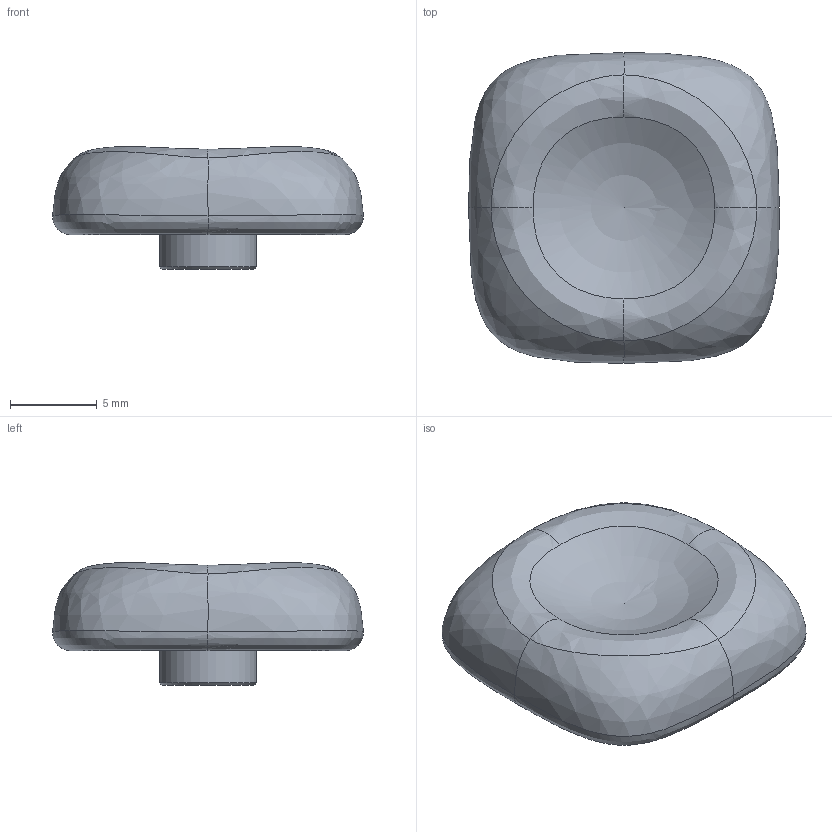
import cadquery as cq

stem_height = 2.0
dish_floor = 5.14

stem_diameter = 5.6
stem_edge_chamfer = 0.15

dish_radius = 10.0
rim_fillet = 2.06
base_fillet = 1.05

cap_sections = [
    (stem_height, 9.00, 7.62),
    (3.1, 8.96, 7.43),
    (4.3, 8.83, 7.25),
    (5.55, 8.40, 6.62),
    (6.4, 7.70, 5.82),
    (7.5, 6.26, 4.47),
]


def section_wire(height, half_width, corner):
    """Rounded-square outline at one height: four smooth quadrant curves joined on the axes."""
    quadrant = cq.Edge.makeSpline(
        [
            cq.Vector(half_width, 0, height),
            cq.Vector(corner, corner, height),
            cq.Vector(0, half_width, height),
        ],
        tangents=[cq.Vector(0, 1, 0), cq.Vector(-1, 0, 0)],
    )
    upward = cq.Vector(0, 0, 1)
    origin = cq.Vector(0, 0, 0)
    quadrants = [quadrant.rotate(origin, upward, 90 * turn) for turn in range(4)]
    return cq.Wire.assembleEdges(quadrants)


def make_cap():
    """Pillow-shaped cap with a spherical finger dish and rounded edges."""
    wires = [section_wire(*section) for section in cap_sections]
    blank = cq.Workplane(obj=cq.Solid.makeLoft(wires))
    dish = cq.Workplane(origin=(0, 0, dish_floor + dish_radius)).sphere(dish_radius)
    dished = blank.cut(dish)
    rounded_base = dished.faces("<Z").edges().fillet(base_fillet)
    rim = rounded_base.faces(cq.selectors.TypeSelector("SPHERE")).edges()
    return rim.fillet(rim_fillet)


def make_stem():
    """Round stem reaching from the foot up to the underside of the cap."""
    stem = cq.Workplane().circle(stem_diameter / 2).extrude(stem_height)
    return stem.faces("<Z").edges().chamfer(stem_edge_chamfer)


result = make_cap().union(make_stem())